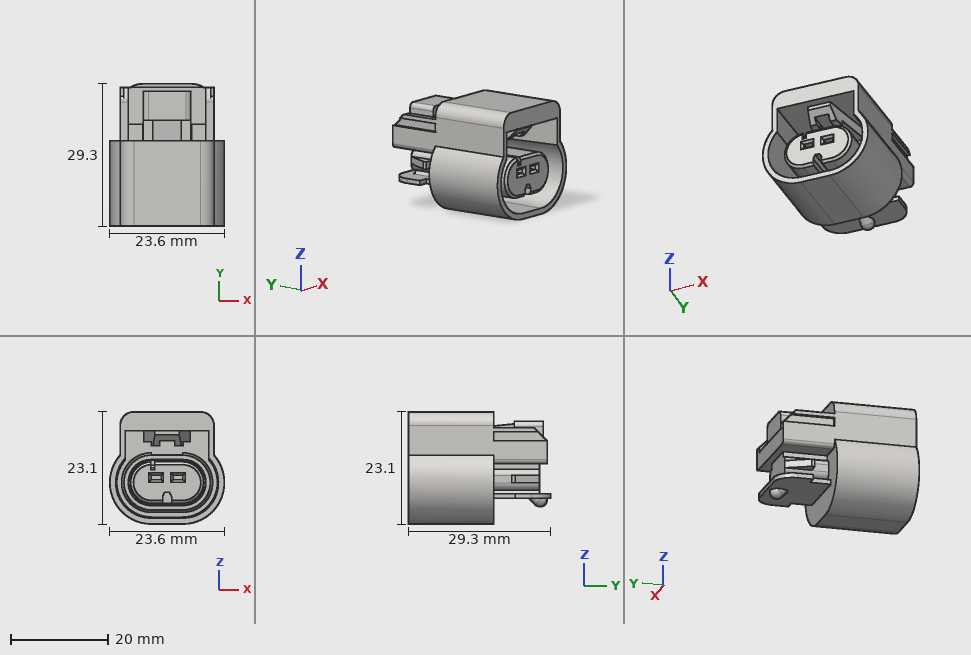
import cadquery as cq
import math


lobe_offset = 3.25
shroud_radius = 8.55
shroud_half_width = 9.67
shroud_top = 14.55
shroud_length = 17.58
shroud_corner_radius = 2.8

cavity_radius = 7.32
cavity_draft = 0.23
cavity_half_width = 8.58
cavity_top = 10.7
cavity_depth = 14.65

plug_radius = 4.25
plug_front = 1.03
plug_chamfer_width = 0.6
plug_chamfer_depth = 0.45
seat_radius = 6.12
seat_front_radius = 5.63
seat_height = 2.35
seat_flat_half_width = 3.25
seat_flat_z = 5.68
collar_radius = 4.75
collar_chamfer = 0.15
collar_height = 0.6

socket_pitch = 4.48
socket_center_z = 1.05
socket_width = 3.0
socket_height = 1.9
socket_throat_width = 2.05
socket_throat_height = 0.9
socket_funnel_depth = 0.53
socket_depth = 11.72

key_slot_left = -3.4
key_slot_right = -2.5
key_slot_floor = 3.57
key_slot_ramp_foot = 3.05
key_slot_front_floor = 2.6
key_slot_lip_depth = 0.3
key_notch_half_width = 0.95
key_notch_tip_half_width = 0.47
key_notch_shoulder_z = -2.87
key_notch_top_z = -1.95
key_notch_length = 8.8

tongue_front = 1.9
tongue_front_half_width = 2.5
tongue_rear_half_width = 4.78
tongue_front_bottom = 9.87
tongue_center_bottom = 8.65
tongue_side_bottom = 8.45
hook_bottom = 7.53
hook_inner_x = 1.52
hook_outer_x = 3.3
tongue_bevel_slope = 1.0

deck_rear = 28.57
deck_top = 7.53
deck_bottom = 3.87
deck_bottom_radius = 0.88
deck_step_end = 20.92
deck_step_inner_x = 5.05
shoulder_top = 10.7
rail_top = 11.28
rail_thickness = 1.67
rail_chamfer = 2.72
rail_crest_radius = 0.7
rail_groove_bottom = 8.58
rail_groove_top = 10.4
rail_groove_depth = 0.73

hood_half_width = 4.85
hood_front = 21.77
hood_rear = 27.75
hood_top = 12.63
hood_radius = 1.03
arm_half_width = 2.93
arm_front_top = 11.65
arm_rear_top = 12.07

block_half_width = 5.45
block_rear = 26.99
block_bottom = -1.55
block_shoulder_z = 2.72
barb_bottom = -0.03
barb_top = 1.52
barb_half_width = 7.9
barb_front = 21.27
barb_crest_end = 21.98

flap_top = -2.25
flap_bottom = -3.25
flap_half_width = 9.17
flap_front = 21.98
flap_rear = 29.3
flap_corner_radius = 4.0
flap_stem_half_width = 7.03
nub_rear = 28.57
nub_bottom = -4.98
nub_radius = 1.46
nub_slant_length = 3.52


def box(x0, x1, y0, y1, z0, z1):
    """Box between the given limits."""
    return cq.Workplane("XY").box(x1 - x0, y1 - y0, z1 - z0, centered=False).translate((x0, y0, z0))


def mirrored_pair(body):
    """The body together with its mirror image across X = 0."""
    return body.union(body.mirror("YZ"))


def face_plane(y):
    """Sketch plane at depth y whose extrusions run toward +Y (sketch x is -X)."""
    return cq.Workplane(cq.Plane(origin=(0, y, 0), xDir=(-1, 0, 0), normal=(0, 1, 0)))


def oval(radius, y0, y1):
    """Oval prism between two depths."""
    return face_plane(y0).slot2D(2 * (lobe_offset + radius), 2 * radius).extrude(y1 - y0)


def tapered_oval(radius0, radius1, y0, y1):
    """Oval that changes radius evenly from y0 to y1."""
    length = y1 - y0
    cones = [
        face_plane(y0).center(x, 0).circle(radius0).workplane(offset=length).circle(radius1).loft(ruled=True)
        for x in (-lobe_offset, lobe_offset)
    ]
    middle = (
        cq.Workplane("YZ")
        .workplane(offset=-lobe_offset)
        .polyline([(y0, -radius0), (y1, -radius1), (y1, radius1), (y0, radius0)])
        .close()
        .extrude(2 * lobe_offset)
    )
    return middle.union(cones[0]).union(cones[1])


def side_profile(points, x0, x1):
    """Prism along X from a (Y, Z) outline."""
    return cq.Workplane("YZ").workplane(offset=x0).polyline(points).close().extrude(x1 - x0)


def make_shroud():
    upper = box(-shroud_half_width, shroud_half_width, 0, shroud_length, 0, shroud_top)
    upper = upper.edges("|Y and >Z").fillet(shroud_corner_radius)
    shell = upper.union(oval(shroud_radius, 0, shroud_length))
    upper_cavity = box(-cavity_half_width, cavity_half_width, 0, cavity_depth, 0, cavity_top)
    lower_cavity = tapered_oval(cavity_radius, cavity_radius - cavity_draft, 0, cavity_depth)
    return shell.cut(upper_cavity).cut(lower_cavity)


def make_plug():
    seat_front = cavity_depth - seat_height
    collar_front = seat_front - collar_height
    chamfer_end = plug_front + plug_chamfer_depth

    seat = tapered_oval(seat_front_radius, seat_radius, seat_front, cavity_depth)
    seat = seat.cut(box(-seat_flat_half_width, seat_flat_half_width, seat_front, cavity_depth,
                        seat_flat_z, seat_radius))
    collar = tapered_oval(collar_radius - collar_chamfer, collar_radius,
                          collar_front, collar_front + collar_chamfer)
    collar = collar.union(oval(collar_radius, collar_front + collar_chamfer, cavity_depth))
    tip = tapered_oval(plug_radius - plug_chamfer_width, plug_radius, plug_front, chamfer_end)
    plug = oval(plug_radius, chamfer_end, cavity_depth).union(tip).union(collar).union(seat)

    for x in (-socket_pitch / 2, socket_pitch / 2):
        plug = plug.cut(make_socket(x))
    return plug.cut(make_key_slot(collar_front)).cut(make_key_notch())


def make_socket(x):
    """Funnel and throat of one terminal socket."""
    mouth = face_plane(plug_front).center(-x, socket_center_z).rect(socket_width, socket_height)
    funnel = (
        mouth.workplane(offset=socket_funnel_depth)
        .rect(socket_throat_width, socket_throat_height)
        .loft(ruled=True)
    )
    throat = (
        face_plane(plug_front)
        .center(-x, socket_center_z)
        .rect(socket_throat_width, socket_throat_height)
        .extrude(socket_depth)
    )
    return funnel.union(throat)


def make_key_slot(end):
    """Off-centre slot in the plug top, with a stepped and ramped mouth."""
    lip = plug_front + key_slot_lip_depth
    ramp_end = lip + key_slot_floor - key_slot_ramp_foot
    outline = [
        (plug_front, plug_radius),
        (plug_front, key_slot_front_floor),
        (lip, key_slot_front_floor),
        (lip, key_slot_ramp_foot),
        (ramp_end, key_slot_floor),
        (end, key_slot_floor),
        (end, plug_radius),
    ]
    return side_profile(outline, key_slot_left, key_slot_right)


def make_key_notch():
    """Central notch in the plug underside."""
    outline = [
        (-key_notch_half_width, -plug_radius),
        (-key_notch_half_width, key_notch_shoulder_z),
        (-key_notch_tip_half_width, key_notch_top_z),
        (key_notch_tip_half_width, key_notch_top_z),
        (key_notch_half_width, key_notch_shoulder_z),
        (key_notch_half_width, -plug_radius),
    ]
    return face_plane(plug_front).polyline(outline).close().extrude(key_notch_length)


def make_tongue():
    """Latch tongue under the shroud roof, widening toward the rear, with two hooks."""
    widening = (tongue_rear_half_width - tongue_front_half_width) / (cavity_depth - tongue_front)
    hook_end = tongue_front + (hook_outer_x - tongue_front_half_width) / widening

    def wedge(bottom, end, x0, x1):
        bevel_end = tongue_front + (tongue_front_bottom - bottom) / tongue_bevel_slope
        outline = [
            (tongue_front, cavity_top),
            (tongue_front, tongue_front_bottom),
            (bevel_end, bottom),
            (end, bottom),
            (end, cavity_top),
        ]
        return side_profile(outline, x0, x1)

    hook = wedge(hook_bottom, hook_end, hook_inner_x, hook_outer_x)
    side = wedge(tongue_side_bottom, cavity_depth, hook_inner_x, tongue_rear_half_width)
    center = wedge(tongue_center_bottom, cavity_depth, -hook_inner_x, hook_inner_x)
    plan = (
        cq.Workplane("XY")
        .polyline([
            (-tongue_front_half_width, tongue_front),
            (tongue_front_half_width, tongue_front),
            (tongue_rear_half_width, cavity_depth),
            (-tongue_rear_half_width, cavity_depth),
        ])
        .close()
        .extrude(cavity_top)
    )
    return center.union(mirrored_pair(hook.union(side))).intersect(plan)


def make_deck():
    """Deck between two raised, grooved and chamfered side rails."""
    deck = box(-shroud_half_width, shroud_half_width, shroud_length, deck_rear, deck_bottom, rail_top)
    deck = deck.edges("|Y and <Z").fillet(deck_bottom_radius)
    deck = deck.edges(">Y and >Z").chamfer(rail_chamfer)
    chamfer_crest = cq.selectors.NearestToPointSelector((0, deck_rear - rail_chamfer, rail_top))
    deck = deck.edges(chamfer_crest).fillet(rail_crest_radius)
    rail_inner_x = shroud_half_width - rail_thickness
    deck = deck.cut(box(-rail_inner_x, rail_inner_x, shroud_length, deck_rear, deck_top, rail_top))
    groove = box(shroud_half_width - rail_groove_depth, shroud_half_width, shroud_length, deck_rear,
                 rail_groove_bottom, rail_groove_top)
    step = box(deck_step_inner_x, rail_inner_x, shroud_length, deck_step_end,
               deck_top, shoulder_top)
    return deck.cut(mirrored_pair(groove)).union(mirrored_pair(step))


def make_latch():
    """Latch hood on the deck, with a shoulder block and the sloping arm that join it to the shroud."""
    hood = box(-hood_half_width, hood_half_width, hood_front, hood_rear, deck_top, hood_top)
    hood = hood.edges("|Y and >Z").fillet(hood_radius)
    shoulder = box(-hood_half_width, hood_half_width, shroud_length, hood_front, deck_top, shoulder_top)
    arm = side_profile(
        [
            (shroud_length, shoulder_top),
            (shroud_length, arm_front_top),
            (hood_front, arm_rear_top),
            (hood_front, shoulder_top),
        ],
        -arm_half_width,
        arm_half_width,
    )
    return hood.union(shoulder).union(arm)


def make_terminal_block():
    """Block under the deck with rounded sides, a foot that flares onto the flap, and a barb per side."""
    top_radius = block_shoulder_z - barb_top
    bottom_radius = barb_bottom - block_bottom
    top_x = block_half_width - top_radius
    bottom_x = block_half_width - bottom_radius
    foot_height = block_bottom - flap_top
    diagonal = math.sqrt(0.5)

    def quarter_point(center_x, center_z, half_x, half_z):
        """Midpoint of a quarter arc; half_x and half_z carry its signed radius."""
        return (center_x + half_x * diagonal, center_z + half_z * diagonal)

    half_section = (
        cq.Workplane(cq.Plane(origin=(0, block_rear, 0), xDir=(1, 0, 0), normal=(0, -1, 0)))
        .moveTo(0, deck_bottom)
        .lineTo(top_x, deck_bottom)
        .lineTo(top_x, block_shoulder_z)
        .threePointArc(quarter_point(top_x, barb_top, top_radius, top_radius),
                       (block_half_width, barb_top))
        .lineTo(block_half_width, barb_bottom)
        .threePointArc(quarter_point(bottom_x, barb_bottom, bottom_radius, -bottom_radius),
                       (bottom_x, block_bottom))
        .threePointArc(quarter_point(bottom_x + foot_height, block_bottom, -foot_height, -foot_height),
                       (bottom_x + foot_height, flap_top))
        .lineTo(0, flap_top)
        .close()
        .extrude(block_rear - shroud_length)
    )
    barb = (
        cq.Workplane("XY")
        .workplane(offset=barb_bottom)
        .polyline([
            (0, barb_front),
            (barb_half_width, barb_front),
            (barb_half_width, barb_crest_end),
            (block_half_width, block_rear),
            (0, block_rear),
        ])
        .close()
        .extrude(barb_top - barb_bottom)
    )
    return mirrored_pair(half_section.union(barb))


def make_flap():
    """Flap with rounded rear corners, its stem and the slanted round nub beneath it."""
    stem = box(-flap_stem_half_width, flap_stem_half_width, shroud_length, flap_front,
               flap_bottom, flap_top)
    flap = box(-flap_half_width, flap_half_width, flap_front, flap_rear, flap_bottom, flap_top)
    flap = flap.edges("|Z and >Y").fillet(flap_corner_radius)

    nub_center = (0, nub_rear - nub_radius, nub_bottom + nub_radius)
    slant = cq.Plane(origin=nub_center, xDir=(1, 0, 0), normal=(0, -1, 1))
    nub = cq.Workplane("XY").sphere(nub_radius).translate(nub_center)
    nub = nub.union(cq.Workplane(slant).circle(nub_radius).extrude(nub_slant_length))
    below_flap = box(-flap_half_width, flap_half_width, flap_front, flap_rear, nub_bottom, flap_bottom)
    return flap.union(stem).union(nub.intersect(below_flap))


result = make_shroud()
features = (make_plug(), make_tongue(), make_deck(), make_latch(), make_terminal_block(), make_flap())
for feature in features:
    result = result.union(feature)